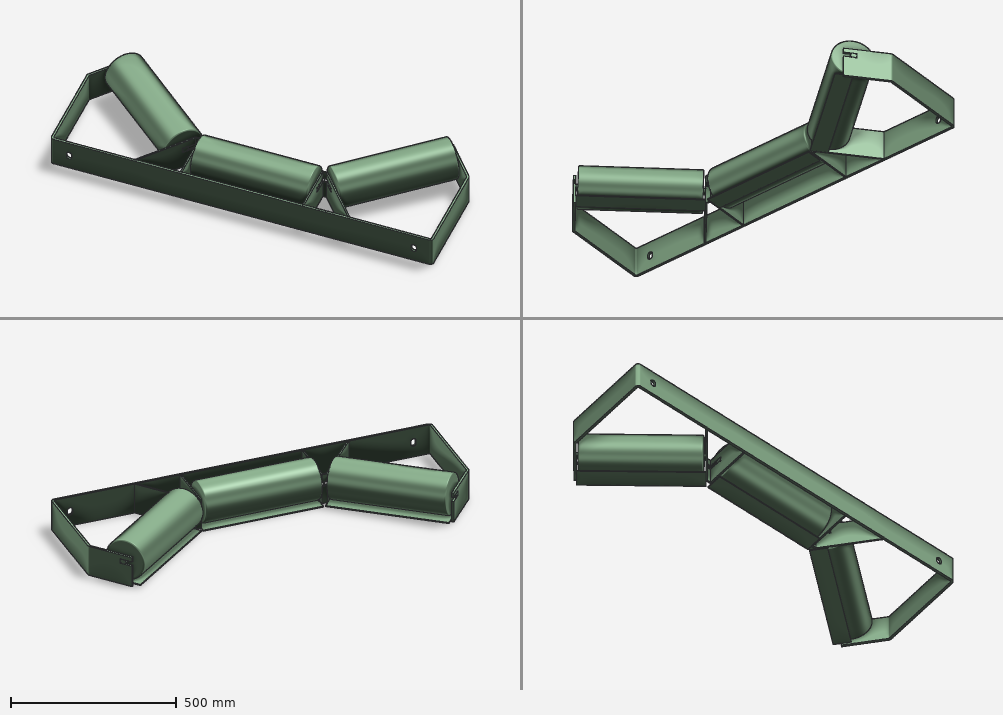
import cadquery as cq
import math

frame_width = 1240.0
strap_height = 100.0
strap_thickness = 7.0
leaning_top = 31.0
bend_radius = 11.0
mount_hole_width = 17.0
mount_hole_height = 26.0
mount_hole_inset = 61.0

roller_diameter = 133.0
roller_length = 380.0
roller_edge_radius = 5.0
roller_gap = 6.0
centre_roller_y = 125.0
centre_roller_z = 67.0
wing_roller_x = 388.0
wing_roller_y = 265.0
wing_roller_z = 73.0
trough_angle = 40.0
forward_tilt = 1.5

shaft_diameter = 20.0
flat_width = 15.0
slot_depth = 99.0

bracket_thickness = 5.0
crown_height = 167.0

guard_clearance = 1.0
guard_thickness = 4.0
guard_width = 56.0

half_width = frame_width / 2
half_roller = roller_length / 2
plate_offset = half_roller + roller_gap
sin_trough = math.sin(math.radians(trough_angle))
cos_trough = math.cos(math.radians(trough_angle))
tan_trough = math.tan(math.radians(trough_angle))


def mirrored(shape):
    """The same shape on the other side of the plane of symmetry."""
    return shape.mirror("YZ")


def at_centre(shape):
    """Move a shape from the origin to the middle of the centre roller."""
    return shape.translate((0, centre_roller_y, centre_roller_z))


def at_left_wing(shape, tilt=forward_tilt):
    """Move a shape from the origin to the middle of the left wing roller; its +X end points inwards."""
    turned = shape.rotate((0, 0, 0), (0, 1, 0), tilt).rotate((0, 0, 0), (0, 0, 1), -trough_angle)
    return turned.translate((-wing_roller_x, wing_roller_y, wing_roller_z))


def make_roller(start_plate, end_plate):
    """Roller along X with rounded rims; its shaft ends flush with the far faces of both plates."""
    barrel = cq.Workplane("YZ", origin=(-half_roller, 0, 0))
    barrel = barrel.circle(roller_diameter / 2).extrude(roller_length)
    barrel = barrel.faces("|X").edges().fillet(roller_edge_radius)
    start = plate_offset + start_plate
    end = plate_offset + end_plate
    shaft = cq.Workplane("YZ", origin=(-start, 0, 0)).circle(shaft_diameter / 2).extrude(start + end)
    flats = cq.Workplane("XY").box(2 * max(start, end), shaft_diameter, flat_width)
    return barrel.union(shaft.intersect(flats))


def make_slot(end_side, plate):
    """Cutter for the slot in the plate at the -X (-1) or +X (1) end of a roller, open towards +Y."""
    slot = cq.Workplane("XY").box(plate + roller_gap, slot_depth, flat_width)
    return slot.translate((
        end_side * (plate_offset + plate / 2),
        slot_depth / 2 - shaft_diameter / 2,
        0,
    ))


def make_guard():
    """Flat plate under a roller along X, longer than the space between the plates it meets."""
    guard = cq.Workplane("XY").box(2 * roller_length, guard_width, guard_thickness)
    depth = roller_diameter / 2 + guard_clearance + guard_thickness / 2
    return guard.translate((0, guard_width / 2, -depth))


def make_guard_space():
    """Upright block that fills the space between the two plates that carry a roller."""
    return cq.Workplane("XY").box(2 * plate_offset, frame_width, frame_width)


def strap_outline(thickness):
    """Corners of the left half of the region inside the strap, after removing a thickness all round.

    The region is closed along the plane of symmetry, so the leaning end runs up to that plane.
    """
    side = -half_width + thickness
    face_distance = plate_offset + strap_thickness - thickness
    face_x = -wing_roller_x - face_distance * cos_trough
    face_y = wing_roller_y + face_distance * sin_trough
    corner_y = face_y - (face_x - side) / tan_trough
    return [(0, thickness), (side, thickness), (side, corner_y), (0, corner_y - side / tan_trough)]


def strap_region(thickness):
    """Solid filling the left half inside the strap, with the two bends rounded."""
    corners = strap_outline(thickness)
    solid = cq.Workplane("XY").polyline(corners).close().extrude(strap_height)
    for x, y in corners[1:3]:
        nearest = cq.selectors.NearestToPointSelector((x, y, strap_height / 2))
        solid = solid.edges("|Z").edges(nearest).fillet(bend_radius - thickness)
    return solid


def make_frame():
    """Bent strap with a slot in each leaning end and two mounting holes in the base."""
    half = strap_region(0).cut(strap_region(strap_thickness))
    trim = cq.Workplane("XY").box(frame_width, frame_width, frame_width)
    trim = trim.translate((-frame_width / 2, leaning_top + frame_width / 2, 0))
    half = half.cut(at_left_wing(trim, tilt=0))
    half = half.cut(at_left_wing(make_slot(-1, strap_thickness)))
    hole = (
        cq.Workplane("XZ", origin=(mount_hole_inset - half_width, 0, strap_height / 2))
        .slot2D(mount_hole_height, mount_hole_width, 90)
        .extrude(-strap_thickness)
    )
    half = half.cut(hole)
    return half.union(mirrored(half))


def bracket_region(thickness):
    """Solid inside the left bracket, after removing a thickness from its two legs and crown."""
    face_distance = plate_offset + thickness
    face_x = -wing_roller_x + face_distance * cos_trough
    face_y = wing_roller_y - face_distance * sin_trough
    top = crown_height - thickness
    upright_x = -plate_offset - thickness

    def leg_x(y):
        return face_x + (y - face_y) * tan_trough

    corners = [
        (leg_x(strap_thickness), strap_thickness),
        (leg_x(top), top),
        (upright_x, top),
        (upright_x, strap_thickness),
    ]
    return cq.Workplane("XY").polyline(corners).close().extrude(strap_height)


def make_left_bracket():
    """Folded plate: an upright leg for the centre roller and a slanted leg for the wing roller."""
    bracket = bracket_region(0).cut(bracket_region(bracket_thickness))
    bracket = bracket.cut(at_centre(make_slot(-1, bracket_thickness)))
    return bracket.cut(at_left_wing(make_slot(1, bracket_thickness)))


frame = make_frame()
left_bracket = make_left_bracket()
centre_roller = at_centre(make_roller(bracket_thickness, bracket_thickness))
left_roller = at_left_wing(make_roller(strap_thickness, bracket_thickness))
centre_guard = at_centre(make_guard().intersect(make_guard_space()))
left_guard = at_left_wing(make_guard()).intersect(at_left_wing(make_guard_space(), tilt=0))

bodies = [frame.val(), centre_roller.val(), centre_guard.val()]
for left_body in (left_bracket, left_roller, left_guard):
    bodies.append(left_body.val())
    bodies.append(mirrored(left_body).val())

result = cq.Compound.makeCompound(bodies)